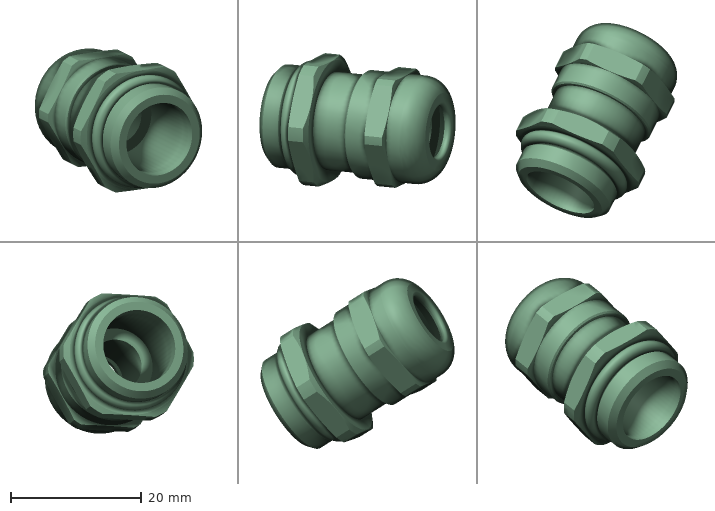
import cadquery as cq
import math


total_length = 27.24
cap_length = 12.54
flange_length = 3.2
connection_length = 6.0
flange_end = total_length - connection_length
flange_start = flange_end - flange_length

cap_diameter = 16.8
cap_face_diameter = 12.0
dome_radius = 3.5
cap_end_chamfer = 0.25
mouth_diameter = 8.2
mouth_fillet = 0.5
mouth_land = 0.2
lip_thickness = 1.1
lip_back_diameter = 8.4
cap_bore_diameter = 14.4
cap_hex_start = 5.5
cap_hex_length = 3.5
cap_hex_flats = 17.0
cap_hex_corners = 18.9
cap_hex_chamfer_angle = 15.0

seal_diameter = 10.1
seal_bore_diameter = 8.0
insert_face = 3.1
cage_rim_length = 3.0
cage_sleeve_diameter = 12.8
insert_end = 14.0

neck_diameter = 15.2
body_bore_diameter = 11.5
flange_flats = 19.0
flange_corners = 20.79
flange_face_diameter = 18.9
flange_front_chamfer_angle = 30.0
flange_back_chamfer_angle = 12.0
connection_diameter = 16.0
connection_chamfer = 0.95
undercut_width = 2.5

ring_inner_diameter = 13.86
ring_thickness = 2.0


def revolve_profile(profile):
    """Revolve a closed (x, radius) profile about the X axis."""
    return profile.close().revolve(360, (0, 0, 0), (1, 0, 0))


def tube(start, end, outer_diameter, inner_diameter):
    """Plain tube along X."""
    section = cq.Workplane("YZ", origin=(start, 0, 0)).circle(outer_diameter / 2)
    return section.circle(inner_diameter / 2).extrude(end - start)


def rod(start, end, diameter):
    """Plain cylinder along X."""
    return cq.Workplane("YZ", origin=(start, 0, 0)).circle(diameter / 2).extrude(end - start)


def turned_hexagon(start, length, flats, corners, face_diameter, front_angle, back_angle):
    """Hexagon along X with flats facing +Z and -Z, its corners turned round and chamfered."""
    end = start + length
    corner_radius = corners / 2
    face_radius = face_diameter / 2
    rise = corner_radius - face_radius
    front_chamfer = rise * math.tan(math.radians(front_angle))
    back_chamfer = rise * math.tan(math.radians(back_angle))
    across_corners = flats / math.cos(math.pi / 6)
    hexagon = cq.Workplane("YZ", origin=(start, 0, 0)).polygon(6, across_corners).extrude(length)
    envelope = revolve_profile(
        cq.Workplane("XY")
        .moveTo(start, 0)
        .lineTo(start, face_radius)
        .lineTo(start + front_chamfer, corner_radius)
        .lineTo(end - back_chamfer, corner_radius)
        .lineTo(end, face_radius)
        .lineTo(end, 0)
    )
    return hexagon.intersect(envelope)


def make_cap_nut():
    """Domed cap nut with a hexagon, a rounded mouth, and a cavity flaring out behind the lip."""
    outer_radius = cap_diameter / 2
    face_radius = cap_face_diameter / 2
    mouth_radius = mouth_diameter / 2
    bore_radius = cap_bore_diameter / 2

    dome_centre_radius = outer_radius - dome_radius
    dome_end = math.sqrt(dome_radius**2 - (face_radius - dome_centre_radius) ** 2)
    middle_angle = math.asin(dome_end / dome_radius) / 2
    dome_middle = (
        dome_end - dome_radius * math.sin(middle_angle),
        dome_centre_radius + dome_radius * math.cos(middle_angle),
    )
    fillet_reach = mouth_fillet * (1 - math.sqrt(0.5))

    shell = revolve_profile(
        cq.Workplane("XY")
        .moveTo(0, mouth_radius + mouth_fillet)
        .lineTo(0, face_radius)
        .threePointArc(dome_middle, (dome_end, outer_radius))
        .lineTo(cap_length - cap_end_chamfer, outer_radius)
        .lineTo(cap_length, outer_radius - cap_end_chamfer)
        .lineTo(cap_length, bore_radius)
        .lineTo(insert_face, bore_radius)
        .lineTo(lip_thickness, seal_diameter / 2)
        .lineTo(lip_thickness, lip_back_diameter / 2)
        .lineTo(mouth_fillet + mouth_land, mouth_radius)
        .lineTo(mouth_fillet, mouth_radius)
        .threePointArc((fillet_reach, mouth_radius + fillet_reach), (0, mouth_radius + mouth_fillet))
    )
    hexagon = turned_hexagon(
        cap_hex_start,
        cap_hex_length,
        cap_hex_flats,
        cap_hex_corners,
        cap_diameter,
        cap_hex_chamfer_angle,
        cap_hex_chamfer_angle,
    )
    hexagon = hexagon.cut(rod(cap_hex_start, cap_hex_start + cap_hex_length, cap_bore_diameter))
    return shell.union(hexagon)


def make_seal():
    """Sleeve that grips the cable, flush with the front of the cage."""
    return tube(insert_face, insert_end, seal_diameter, seal_bore_diameter)


def make_cage():
    """Clamping cage: a rim in the cap cavity and a sleeve that enters the body."""
    rim = tube(insert_face, insert_face + cage_rim_length, cap_bore_diameter, seal_diameter)
    sleeve = tube(insert_face, insert_end, cage_sleeve_diameter, seal_diameter)
    return rim.union(sleeve)


def make_connection():
    """Connection thread as a plain cylinder, with an undercut for the O-ring."""
    outer_radius = connection_diameter / 2
    undercut_radius = ring_inner_diameter / 2
    thread_start = flange_end + undercut_width
    undercut_end = thread_start - (outer_radius - undercut_radius)
    return revolve_profile(
        cq.Workplane("XY")
        .moveTo(flange_end, 0)
        .lineTo(flange_end, undercut_radius)
        .lineTo(undercut_end, undercut_radius)
        .lineTo(thread_start, outer_radius)
        .lineTo(total_length - connection_chamfer, outer_radius)
        .lineTo(total_length, outer_radius - connection_chamfer)
        .lineTo(total_length, 0)
    )


def make_body():
    """Gland body: spigot inside the cap, neck, hexagonal flange and connection end."""
    spigot_start = insert_face + cage_rim_length
    flange = turned_hexagon(
        flange_start,
        flange_length,
        flange_flats,
        flange_corners,
        flange_face_diameter,
        flange_front_chamfer_angle,
        flange_back_chamfer_angle,
    )
    body = rod(spigot_start, cap_length, cap_bore_diameter)
    body = body.union(rod(cap_length, flange_start, neck_diameter))
    body = body.union(flange)
    body = body.union(make_connection())
    body = body.cut(rod(spigot_start, insert_end, cage_sleeve_diameter))
    return body.cut(rod(insert_end, total_length, body_bore_diameter))


def make_o_ring():
    """O-ring touching the flange and seated on the undercut."""
    tube_radius = ring_thickness / 2
    centre_radius = ring_inner_diameter / 2 + tube_radius
    section = cq.Workplane("XY").center(flange_end + tube_radius, centre_radius).circle(tube_radius)
    return section.revolve(360, (0, -centre_radius, 0), (1, -centre_radius, 0))


cap_nut = make_cap_nut()
seal = make_seal()
cage = make_cage()
body = make_body()
o_ring = make_o_ring()

result = cq.Compound.makeCompound(
    [cap_nut.val(), seal.val(), cage.val(), body.val(), o_ring.val()]
)